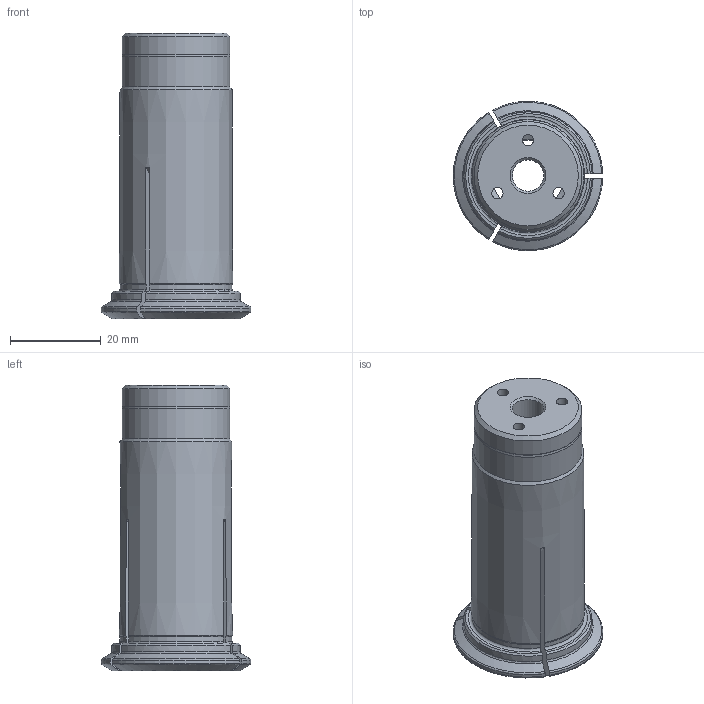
import cadquery as cq
import math

TOTAL_HEIGHT = 63.0

FLANGE_RADIUS = 16.5
FLANGE_MID_Z = 2.0
FLANGE_LAND = 0.6
FLANGE_SLOPE = math.radians(30)
FLANGE_FILLET = 0.47

COLLAR_RADIUS = 14.15
COLLAR_TOP_Z = 6.1
COLLAR_CHAMFER = 0.4

NECK_RADIUS = 12.35
NECK_TOP_Z = 7.5
NECK_RELIEF_HEIGHT = 0.4
NECK_RELIEF_WIDTH = 0.8
NECK_RELIEF_RADIUS = 0.5

BODY_FOOT_RADIUS = 12.5
BODY_FOOT_Z = 7.85
BODY_TOP_RADIUS = 12.35
SHOULDER_Z = 51.15
SHOULDER_HEIGHT = 0.6

HEAD_RADIUS = 11.9
HEAD_GROOVE_TOP_Z = 58.4
HEAD_GROOVE_HEIGHT = 0.6
HEAD_GROOVE_DEPTH = 0.1
HEAD_CHAMFER = 0.8

BORE_DIAMETER = 15.88
CHAMBER_DIAMETER = 20.2
CHAMBER_HEIGHT = 4.0
CHAMBER_SLOPE = math.radians(30)
END_WALL = 12.0
CENTRE_HOLE_DIAMETER = 6.92
CENTRE_HOLE_CHAMFER = 0.5

SMALL_HOLE_DIAMETER = 2.5
SMALL_HOLE_CIRCLE_RADIUS = 7.8
SMALL_HOLE_ANGLES = (90, 210, 330)

SLOT_WIDTH = 1.0
SLOT_TOP_Z = 33.5
SLOT_ANGLES = (0, 120, 240)


def make_outside():
    """Solid of revolution of the outer outline, with the flange edges rounded."""
    land_top_z = FLANGE_MID_Z + FLANGE_LAND / 2 + FLANGE_FILLET * math.tan(FLANGE_SLOPE)
    land_bottom_z = 2 * FLANGE_MID_Z - land_top_z
    foot_radius = FLANGE_RADIUS - land_bottom_z / math.tan(FLANGE_SLOPE)
    collar_foot_z = land_top_z + (FLANGE_RADIUS - COLLAR_RADIUS) * math.tan(FLANGE_SLOPE)
    outline = (
        cq.Workplane("XZ")
        .moveTo(0, 0)
        .lineTo(foot_radius, 0)
        .lineTo(FLANGE_RADIUS, land_bottom_z)
        .lineTo(FLANGE_RADIUS, land_top_z)
        .lineTo(COLLAR_RADIUS, collar_foot_z)
        .lineTo(COLLAR_RADIUS, COLLAR_TOP_Z - COLLAR_CHAMFER)
        .lineTo(COLLAR_RADIUS - COLLAR_CHAMFER, COLLAR_TOP_Z)
        .lineTo(NECK_RADIUS + NECK_RELIEF_WIDTH, COLLAR_TOP_Z)
        .radiusArc((NECK_RADIUS, COLLAR_TOP_Z + NECK_RELIEF_HEIGHT), NECK_RELIEF_RADIUS)
        .lineTo(NECK_RADIUS, NECK_TOP_Z)
        .lineTo(BODY_FOOT_RADIUS, BODY_FOOT_Z)
        .lineTo(BODY_TOP_RADIUS, SHOULDER_Z - SHOULDER_HEIGHT)
        .lineTo(HEAD_RADIUS, SHOULDER_Z)
        .lineTo(HEAD_RADIUS, HEAD_GROOVE_TOP_Z - HEAD_GROOVE_HEIGHT)
        .lineTo(HEAD_RADIUS - HEAD_GROOVE_DEPTH, HEAD_GROOVE_TOP_Z)
        .lineTo(HEAD_RADIUS, HEAD_GROOVE_TOP_Z)
        .lineTo(HEAD_RADIUS, TOTAL_HEIGHT - HEAD_CHAMFER)
        .lineTo(HEAD_RADIUS - HEAD_CHAMFER, TOTAL_HEIGHT)
        .lineTo(0, TOTAL_HEIGHT)
        .close()
    )
    outside = outline.revolve(360, (0, 0, 0), (0, 1, 0))
    for radius, z in (
        (FLANGE_RADIUS, land_bottom_z),
        (FLANGE_RADIUS, land_top_z),
        (COLLAR_RADIUS, collar_foot_z),
    ):
        outside = outside.edges(rim_at(radius, z)).fillet(FLANGE_FILLET)
    return outside


def rim_at(radius, z):
    """Selector for the circular edge of the given radius at the given height."""
    margin = 0.01
    reach = radius + margin
    return cq.selectors.BoxSelector(
        (-reach, -reach, z - margin), (reach, reach, z + margin), boundingbox=True
    )


def make_bores():
    """Main bore, chamber with its sloping floor, and the chamfered centre hole."""
    bore_radius = BORE_DIAMETER / 2
    chamber_radius = CHAMBER_DIAMETER / 2
    hole_radius = CENTRE_HOLE_DIAMETER / 2
    chamber_top_z = TOTAL_HEIGHT - END_WALL
    slope_top_z = chamber_top_z - CHAMBER_HEIGHT
    slope_foot_z = slope_top_z - (chamber_radius - bore_radius) * math.tan(CHAMBER_SLOPE)
    return (
        cq.Workplane("XZ")
        .moveTo(0, 0)
        .lineTo(bore_radius, 0)
        .lineTo(bore_radius, slope_foot_z)
        .lineTo(chamber_radius, slope_top_z)
        .lineTo(chamber_radius, chamber_top_z)
        .lineTo(hole_radius, chamber_top_z)
        .lineTo(hole_radius, TOTAL_HEIGHT - CENTRE_HOLE_CHAMFER)
        .lineTo(hole_radius + CENTRE_HOLE_CHAMFER, TOTAL_HEIGHT)
        .lineTo(0, TOTAL_HEIGHT)
        .close()
        .revolve(360, (0, 0, 0), (0, 1, 0))
    )


def make_small_hole(angle):
    """One small hole through the end wall, at the given angle about Z."""
    return (
        cq.Workplane("XY", origin=(0, 0, TOTAL_HEIGHT - END_WALL))
        .center(SMALL_HOLE_CIRCLE_RADIUS, 0)
        .circle(SMALL_HOLE_DIAMETER / 2)
        .extrude(END_WALL)
        .rotate((0, 0, 0), (0, 0, 1), angle)
    )


def make_slot(angle):
    """One radial slot whose end rises outwards at 45 degrees to SLOT_TOP_Z at the body."""
    top_at_axis = SLOT_TOP_Z - BODY_FOOT_RADIUS
    return (
        cq.Workplane("XZ")
        .moveTo(0, 0)
        .lineTo(FLANGE_RADIUS, 0)
        .lineTo(FLANGE_RADIUS, top_at_axis + FLANGE_RADIUS)
        .lineTo(0, top_at_axis)
        .close()
        .extrude(SLOT_WIDTH / 2, both=True)
        .rotate((0, 0, 0), (0, 0, 1), angle)
    )


result = make_outside().cut(make_bores())
for hole_angle in SMALL_HOLE_ANGLES:
    result = result.cut(make_small_hole(hole_angle))
for slot_angle in SLOT_ANGLES:
    result = result.cut(make_slot(slot_angle))